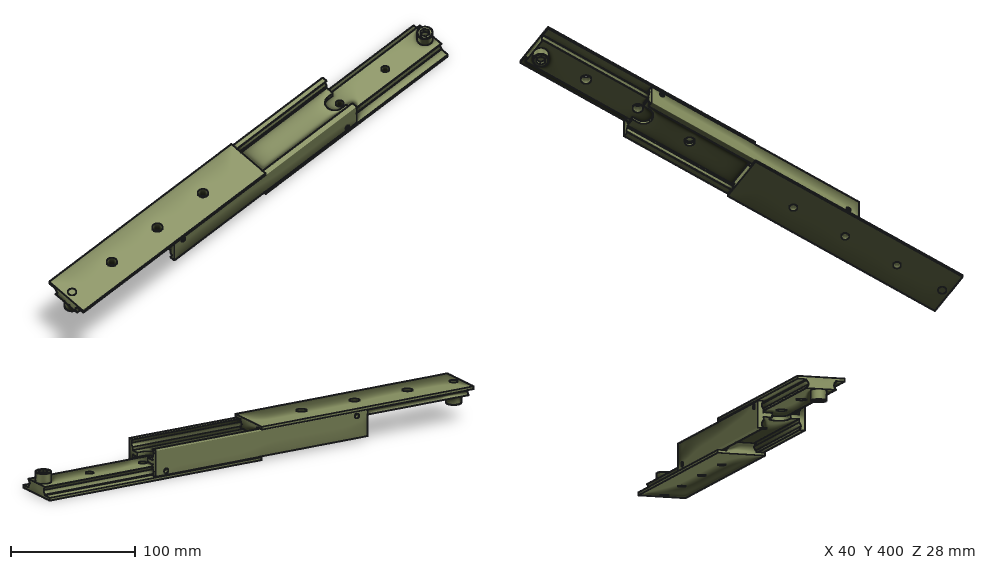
import cadquery as cq
import math

LENGTH = 400.0
WIDTH = 40.0
HEIGHT = 28.0
MEMBER_LENGTH = LENGTH / 2
OUTER_END = LENGTH / 2
CHANNEL_END = MEMBER_LENGTH / 2

FLANGE_THICKNESS = 2.5
RAIL_HEIGHT = 9.5
HEAD_WIDTH = 25.0
ROOT_LAND = 1.0
TIP_LAND = 0.2
RAIL_GROOVE_DEPTH = 2.0

FLANK_FULLNESS = 0.7

HOLE_PITCH = 50.0
HOLE_COUNT = 3
UPPER_HOLE_DIAMETER = 8.5
LOWER_HOLE_DIAMETER = 6.5

STUD_DIAMETER = 13.0
STUD_HEIGHT = 9.0
STUD_CHAMFER = 0.6
STUD_INSET = STUD_DIAMETER / 2
SOCKET_ACROSS_CORNERS = 8.0
SOCKET_ACROSS_FLATS = SOCKET_ACROSS_CORNERS * math.cos(math.pi / 6)
SOCKET_DEPTH = 4.0
SOCKET_TIP_DEPTH = 2.0
SHANK_DIAMETER = 7.0
SHANK_RECESS_DEPTH = 0.2

CHANNEL_HEIGHT = 22.0
CHANNEL_INNER_WIDTH = 30.0
WALL_THICKNESS = (WIDTH - CHANNEL_INNER_WIDTH) / 2
WALL_EDGE_FILLET = 0.5
WEB_THICKNESS = 3.5
CHANNEL_GROOVE_DEPTH = 1.5
NOTCH_WIDTH = 15.5
NOTCH_DEPTH = 13.0

PIN_DIAMETER = 4.0
PIN_INSET = 10.0

PIN_RECESS_DEPTH = 0.5
PIN_RECESS_TIP_DEPTH = 1.0

HEAD_FACE = HEIGHT / 2 - RAIL_HEIGHT
GROOVE_TOP = HEIGHT / 2 - FLANGE_THICKNESS - ROOT_LAND
GROOVE_BOTTOM = HEAD_FACE + TIP_LAND
GROOVE_CENTRE = (GROOVE_TOP + GROOVE_BOTTOM) / 2


def with_mirror(feature):
    """A feature on the +X side together with its mirror image on the -X side."""
    return feature.union(feature.mirror("YZ"))


def upright_cylinder(diameter, y, z, height):
    """Vertical cylinder on the slide's centre line, from z up by height (down if negative)."""
    return cq.Workplane("XY", origin=(0, y, z)).circle(diameter / 2).extrude(height)


def cross_cylinder(diameter, x, y, z, length):
    """Cylinder along +X that starts at (x, y, z)."""
    return cq.Workplane("YZ", origin=(x, y, z)).circle(diameter / 2).extrude(length)


def cone(diameter, base_centre, direction, height):
    """Pointed cone that stands on base_centre and narrows along the direction."""
    solid = cq.Solid.makeCone(diameter / 2, 0, height, cq.Vector(*base_centre), cq.Vector(*direction))
    return cq.Workplane(solid)


def pointed_groove(mouth_x, depth, start_y):
    """Prism of pointed-arch section along one member; a negative depth cuts towards the centre."""
    flank_x = mouth_x + depth * FLANK_FULLNESS
    apex = (mouth_x + depth, GROOVE_CENTRE)
    section = (
        cq.Workplane("XZ", origin=(0, start_y, 0))
        .moveTo(mouth_x, GROOVE_TOP)
        .threePointArc((flank_x, (GROOVE_TOP + GROOVE_CENTRE) / 2), apex)
        .threePointArc((flank_x, (GROOVE_BOTTOM + GROOVE_CENTRE) / 2), (mouth_x, GROOVE_BOTTOM))
        .close()
    )
    return section.extrude(-MEMBER_LENGTH)


def grooved_rail():
    middle_y = -MEMBER_LENGTH / 2
    flange = cq.Workplane("XY", origin=(0, middle_y, HEIGHT / 2)).rect(WIDTH, MEMBER_LENGTH)
    head = cq.Workplane("XY", origin=(0, middle_y, HEIGHT / 2)).rect(HEAD_WIDTH, MEMBER_LENGTH)
    body = flange.extrude(-FLANGE_THICKNESS).union(head.extrude(-RAIL_HEIGHT))
    body = body.cut(with_mirror(pointed_groove(HEAD_WIDTH / 2, -RAIL_GROOVE_DEPTH, -OUTER_END)))
    stop_pin = cross_cylinder(PIN_DIAMETER, -HEAD_WIDTH / 2, -PIN_INSET, GROOVE_CENTRE, HEAD_WIDTH)
    return body.union(stop_pin)


def add_stud(rail):
    """Round stud under the head, with a cone-bottomed hexagon socket and a recessed shank end."""
    stud_y = STUD_INSET - OUTER_END
    stud = upright_cylinder(STUD_DIAMETER, stud_y, HEAD_FACE, -STUD_HEIGHT)
    stud = stud.faces("<Z").chamfer(STUD_CHAMFER)
    stud_face = HEAD_FACE - STUD_HEIGHT
    socket = (
        cq.Workplane("XY", origin=(0, stud_y, stud_face))
        .transformed(rotate=(0, 0, 90))
        .polygon(6, SOCKET_ACROSS_CORNERS)
        .extrude(SOCKET_DEPTH)
    )
    socket_bottom = (0, stud_y, stud_face + SOCKET_DEPTH)
    socket_tip = cone(SOCKET_ACROSS_FLATS, socket_bottom, (0, 0, 1), SOCKET_TIP_DEPTH)
    recess = upright_cylinder(SHANK_DIAMETER, stud_y, HEIGHT / 2, -SHANK_RECESS_DEPTH)
    return rail.union(stud).cut(socket).cut(socket_tip).cut(recess)


def build_rail(hole_diameter):
    """Rail in the upper half, reaching from the middle of the slide to its -Y end."""
    rail = add_stud(grooved_rail())
    for number in range(1, HOLE_COUNT + 1):
        rail = rail.cut(upright_cylinder(hole_diameter, -number * HOLE_PITCH, HEIGHT / 2, -RAIL_HEIGHT))
    return rail


def channel_profile():
    block = cq.Workplane("XY").box(WIDTH, MEMBER_LENGTH, CHANNEL_HEIGHT).edges("|Y").fillet(WALL_EDGE_FILLET)
    cavity_height = (CHANNEL_HEIGHT - WEB_THICKNESS) / 2
    cavity = cq.Workplane("XY").box(CHANNEL_INNER_WIDTH, MEMBER_LENGTH, cavity_height)
    offset = (WEB_THICKNESS + cavity_height) / 2
    return block.cut(cavity.translate((0, 0, offset))).cut(cavity.translate((0, 0, -offset)))


def upper_grooves():
    """Both grooves of the upper half, left solid where the stop pins stand."""
    mouth_x = CHANNEL_INNER_WIDTH / 2
    groove = pointed_groove(mouth_x, CHANNEL_GROOVE_DEPTH, -CHANNEL_END)
    pin = cross_cylinder(PIN_DIAMETER, mouth_x, PIN_INSET - CHANNEL_END, GROOVE_CENTRE, WALL_THICKNESS)
    return with_mirror(groove.cut(pin))


def upper_pin_recesses():
    pin_y = PIN_INSET - CHANNEL_END
    bottom_x = WIDTH / 2 - PIN_RECESS_DEPTH
    recess = cross_cylinder(PIN_DIAMETER, bottom_x, pin_y, GROOVE_CENTRE, PIN_RECESS_DEPTH)
    tip = cone(PIN_DIAMETER, (bottom_x, pin_y, GROOVE_CENTRE), (-1, 0, 0), PIN_RECESS_TIP_DEPTH)
    return with_mirror(recess.union(tip))


def end_notch():
    """Round-bottomed notch in the -Y end of the web."""
    radius = NOTCH_WIDTH / 2
    round_y = NOTCH_DEPTH - radius - CHANNEL_END
    outline = (
        cq.Workplane("XY", origin=(0, 0, -WEB_THICKNESS / 2))
        .moveTo(-radius, -CHANNEL_END)
        .lineTo(-radius, round_y)
        .threePointArc((0, round_y + radius), (radius, round_y))
        .lineTo(radius, -CHANNEL_END)
        .close()
    )
    return outline.extrude(WEB_THICKNESS)


def turned(body):
    """The body turned half a turn about the X axis."""
    return body.rotate((0, 0, 0), (1, 0, 0), 180)


def build_channel():
    channel = channel_profile()
    for cutter in (upper_grooves(), upper_pin_recesses(), end_notch()):
        channel = channel.cut(cutter).cut(turned(cutter))
    access_hole = upright_cylinder(UPPER_HOLE_DIAMETER, -HOLE_PITCH, -WEB_THICKNESS / 2, WEB_THICKNESS)
    return channel.cut(access_hole)


upper_rail = build_rail(UPPER_HOLE_DIAMETER)
lower_rail = turned(build_rail(LOWER_HOLE_DIAMETER))
channel = build_channel()

result = cq.Compound.makeCompound([upper_rail.val(), lower_rail.val(), channel.val()])